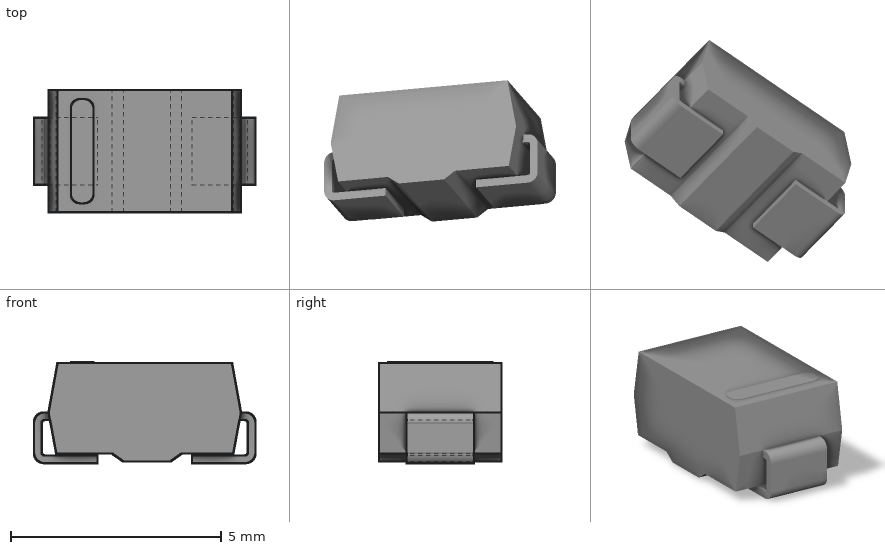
import cadquery as cq

overall_length = 5.28
overall_height = 2.41

body_width = 2.92
body_belt_length = 4.585
body_top_length = 4.16
body_base_length = 4.22
body_base_z = 0.23
belt_z = 1.215

pad_root_length = 1.66
pad_tip_length = 1.12
pad_center_x = 0.05
pad_tip_z = 0.04

mark_height = 0.02
mark_length_x = 0.54
mark_length_y = 2.48
mark_corner_radius = 0.22
mark_center_x = -1.49
body_top_z = overall_height - mark_height

lead_width = 1.6
lead_thickness = 0.19
lead_outer_radius = 0.25
lead_inner_radius = lead_outer_radius - lead_thickness
lead_foot_length = 1.52
lead_embed = 0.2


def extrude_profile(profile, width):
    """Extrude a closed XZ profile symmetrically about Y = 0."""
    return profile.extrude(width / 2, both=True)


def make_body():
    """Body tapering above and below its belt, with the standoff pad underneath."""
    outline = [
        (pad_center_x + pad_tip_length / 2, pad_tip_z),
        (pad_center_x + pad_root_length / 2, body_base_z),
        (body_base_length / 2, body_base_z),
        (body_belt_length / 2, belt_z),
        (body_top_length / 2, body_top_z),
        (-body_top_length / 2, body_top_z),
        (-body_belt_length / 2, belt_z),
        (-body_base_length / 2, body_base_z),
        (pad_center_x - pad_root_length / 2, body_base_z),
        (pad_center_x - pad_tip_length / 2, pad_tip_z),
    ]
    profile = cq.Workplane("XZ").polyline(outline).close()
    return extrude_profile(profile, body_width)


def make_left_lead():
    """Strip bent into a C: upper leg into the body, upright, and foot under the body."""
    outer_x = -overall_length / 2
    inner_x = outer_x + lead_thickness
    foot_end_x = outer_x + lead_foot_length
    leg_end_x = -body_belt_length / 2 + lead_embed
    leg_bottom_z = belt_z - lead_thickness

    outline = [
        (outer_x, 0),
        (foot_end_x, 0),
        (foot_end_x, lead_thickness),
        (inner_x, lead_thickness),
        (inner_x, leg_bottom_z),
        (leg_end_x, leg_bottom_z),
        (leg_end_x, belt_z),
        (outer_x, belt_z),
    ]
    lead = extrude_profile(cq.Workplane("XZ").polyline(outline).close(), lead_width)
    outer_bends = cq.selectors.BoxSelector(
        (outer_x - lead_inner_radius, -lead_width, -lead_inner_radius),
        (outer_x + lead_inner_radius, lead_width, belt_z + lead_inner_radius),
    )
    inner_bends = cq.selectors.BoxSelector(
        (inner_x - lead_inner_radius, -lead_width, lead_inner_radius),
        (inner_x + lead_inner_radius, lead_width, belt_z - lead_inner_radius),
    )
    lead = lead.edges("|Y").edges(outer_bends).fillet(lead_outer_radius)
    return lead.edges("|Y").edges(inner_bends).fillet(lead_inner_radius)


def make_mark():
    """Thin raised bar with rounded corners on the top face."""
    return (
        cq.Workplane("XY", origin=(mark_center_x, 0, body_top_z))
        .rect(mark_length_x, mark_length_y)
        .extrude(mark_height)
        .edges("|Z")
        .fillet(mark_corner_radius)
    )


left_lead = make_left_lead()
right_lead = left_lead.mirror("YZ")
result = make_body().union(left_lead).union(right_lead).union(make_mark())